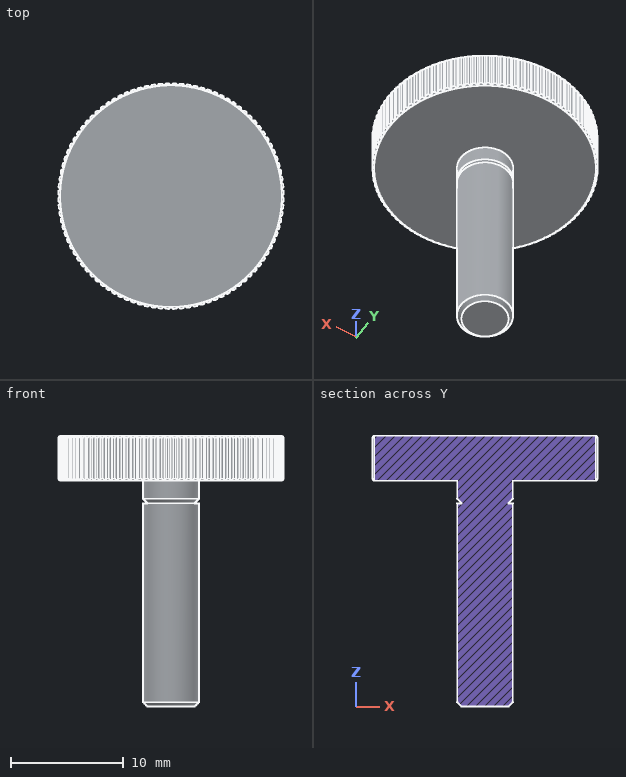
import cadquery as cq
import math

total_height = 24.0
head_diameter = 20.0
head_height = 4.0

shank_diameter = 5.0
neck_height = 2.0
undercut_depth = 0.4
tip_chamfer = 0.4

tooth_count = 100
knurl_depth = 0.2
crest_share = 0.4
head_chamfer = 0.2

head_radius = head_diameter / 2
shank_radius = shank_diameter / 2
head_bottom = total_height - head_height
neck_bottom = head_bottom - neck_height


def rim_point(radius, angle):
    """Point on a circle about the screw axis."""
    return (radius * math.cos(angle), radius * math.sin(angle))


def make_head():
    """Disc with chamfered rims and V-shaped knurl grooves."""
    pitch = 2 * math.pi / tooth_count
    half_crest = crest_share * pitch / 2
    outline = cq.Workplane("XY").workplane(offset=head_bottom)
    outline = outline.moveTo(*rim_point(head_radius - knurl_depth, 0))
    for tooth in range(tooth_count):
        crest_angle = (tooth + 0.5) * pitch
        outline = outline.lineTo(*rim_point(head_radius, crest_angle - half_crest))
        outline = outline.threePointArc(
            rim_point(head_radius, crest_angle),
            rim_point(head_radius, crest_angle + half_crest),
        )
        if tooth < tooth_count - 1:
            next_groove_angle = (tooth + 1) * pitch
            outline = outline.lineTo(*rim_point(head_radius - knurl_depth, next_groove_angle))
    knurled_disc = outline.close().extrude(head_height)

    chamfered_disc = (
        cq.Workplane("XY")
        .workplane(offset=head_bottom)
        .circle(head_radius)
        .extrude(head_height)
        .edges()
        .chamfer(head_chamfer)
    )
    return knurled_disc.intersect(chamfered_disc)


def make_shank():
    """Revolved shank: chamfered tip, square shoulder and a neck tapering into the undercut."""
    undercut_radius = shank_radius - undercut_depth
    profile = [
        (0, 0),
        (shank_radius - tip_chamfer, 0),
        (shank_radius, tip_chamfer),
        (shank_radius, neck_bottom),
        (undercut_radius, neck_bottom),
        (shank_radius, neck_bottom + undercut_depth),
        (shank_radius, head_bottom),
        (0, head_bottom),
    ]
    return cq.Workplane("XZ").polyline(profile).close().revolve(360, (0, 0), (0, 1))


result = make_head().union(make_shank())